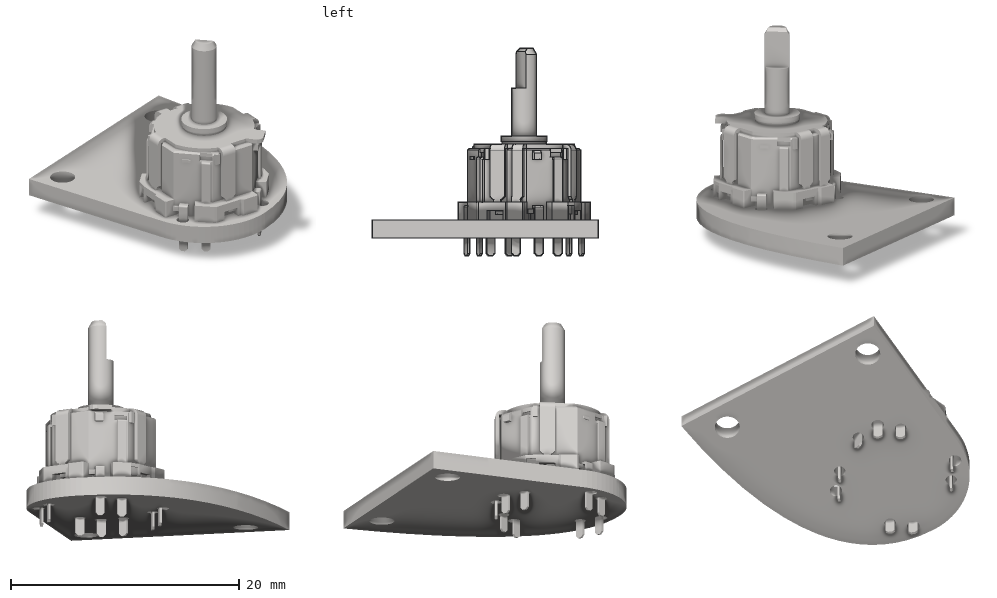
import cadquery as cq
import math

SWITCH_TURN = -20
QUARTER_TURNS = range(4)
EIGHTH = 45

BOARD_RADIUS = 6.5
BOARD_LEFT = -14.19
BOARD_TOP = 13.3
BOARD_THICKNESS = 1.6
CORNER_FACETS = 20
CURVE_RISE = 9.0
CURVE_RUN = 11.2
CURVE_DROP = 0.87
MOUNT_HOLE_DIAMETER = 2.2
MOUNT_HOLE_X = -11.97
MOUNT_HOLE_YS = (9.93, -4.5)
LEAD_HOLE_DIAMETER = 1.0
PIN_HOLE_DIAMETER = 1.1
PIN_HOLE_OUT = 5.35

BODY_FLAT = 4.6
BODY_HEIGHT = 6.25
BODY_CHAMFER = 0.15
ARM_BED_DEPTH = 0.2
ARM_BED_LEFT = -0.08
ARM_BED_RIGHT = 2.45
BODY_CORNER = BODY_FLAT * math.tan(math.pi / 8)

WING_HEIGHT = 1.55
WING_FACE = 5.3
WING_BUMP = 0.2
WING_LEFT = -1.95
WING_BUMP_RIGHT = -0.41
WING_CORNER_X = 2.45
WING_EDGE = 0.1
WING_END = (3.8, 4.0)
WING_SLANT_X = 1.65
WING_SLANT_END = (2.65, 5.07)
WING_INNER_END = (3.25, 3.25)
NOTCH_LEFT = 0.06
NOTCH_WIDTH = 1.45
NOTCH_HEIGHT = 0.83
HOOK_LEFT = 0.12
HOOK_WIDTH = 0.7
HOOK_REACH = 0.41
HOOK_BOTTOM = 0.48
HOOK_HEIGHT = 0.3
WINDOW_BOTTOM = 0.52
WINDOW_HEIGHT = 0.72
WINDOW_DEPTH = 0.17
WINDOW_FRAME = 0.1
UNDERCUT_DEPTH = 0.33

COVER_TOP = 6.64
COVER_THICKNESS = COVER_TOP - BODY_HEIGHT
COVER_FLAT = 4.14
COVER_RADIUS = 4.4
TAB_OUTLINE = [
    (2.69, 3.1),
    (3.4, 3.4),
    (3.8, 3.89),
    (4.82, 2.95),
    (4.96, 2.65),
    (4.88, 2.23),
    (3.93, 1.45),
]
ARM_THICKNESS = 0.3
ARM_ROOT = 3.93
ARM_LEFT = 0.06
ARM_WIDTH = 1.35
ARM_BOTTOM = 1.78
ARM_TIP_CHAMFER = 0.27
ARM_BEND = 0.58
ARM_NECK_WIDTH = 0.65
ARM_NECK_BOTTOM = 1.25
GROUND_ARM_LEFT = -1.72
GROUND_ARM_WIDTH = 1.0
GROUND_ARM_GAP = 0.2
GROUND_LEAD_ALONG = -1.08

LEAD_WIDTH = 0.79
LEAD_THICKNESS = 0.2
LEAD_LENGTH = 3.16
LEAD_TIP_CHAMFER = 0.23
STRIP_ALONG = -1.01
STRIP_OUT = 4.9
STRIP_TOP = 5.48
PIN_ALONG = 0.95
PIN_OUT = 5.2
PIN_TOP = 1.25
LEAD_BEND = 0.15
LEAD_ROOT = 4.14
RECESS_LEFT = -1.53
RECESS_RIGHT = -0.41
RECESS_DEPTH = 0.29
LIP_BOTTOM = 5.9
LIP_DEPTH = 0.15
CATCH_LEFT = 1.6
CATCH_WIDTH = 0.37
CATCH_BOTTOM = 5.27
CATCH_OUT = 4.65
LEDGE_WIDTH = 0.54
LEDGE_DEPTH = 0.25
LEDGE_BOTTOM = 0.54
LEDGE_HEIGHT = 0.41
EAR_ALONG = 1.0
EAR_WIDTH = 0.7
EAR_OUT = 5.03
EAR_BOTTOM = 5.3
EAR_TOP = 6.08
EAR_CHAMFER = 0.25
NUB_ALONG = 0.77
NUB_WIDTH = 0.75
NUB_PROUD = 0.1
NUB_HEIGHT = 0.25

COLLAR_RADIUS = 2.0
NECK_RADIUS = 1.95
NECK_TOP = 6.85
COLLAR_TOP = 7.32
SHAFT_RADIUS = 1.1
SHAFT_TOP = 15.03
TIP_RADIUS = 0.79
TIP_HEIGHT = 0.54
FLAT_OFFSET = 0.3
FLAT_BOTTOM = 11.54
FLAT_CHAMFER = 0.29


def box(left, right, front, back, bottom, top):
    """Block between the given X, Y and Z limits."""
    size = (right - left, back - front, top - bottom)
    return cq.Workplane("XY").box(*size, centered=False).translate((left, front, bottom))


def turned(shape, angle):
    """Shape turned about the Z axis by an angle in degrees."""
    return shape.rotate((0, 0, 0), (0, 0, 1), angle)


def quarter_copies(shape, start=0):
    """Four copies around the axis, the first turned by the start angle."""
    return [turned(shape, start + 90 * turn) for turn in QUARTER_TURNS]


def lead_blade(along, out, top):
    """Straight lead on the +Y side, drawn down from the given top to its pointed tip."""
    half = LEAD_WIDTH / 2
    blade = box(along - half, along + half, out - LEAD_THICKNESS, out, -LEAD_LENGTH, top)
    return blade.edges("|Y and <Z").chamfer(LEAD_TIP_CHAMFER)


def lead(along, out, top):
    """Lead on the +Y side that leaves the housing level and bends down."""
    half = LEAD_WIDTH / 2
    root = box(along - half, along + half, LEAD_ROOT, out, top - LEAD_THICKNESS, top)
    bent = lead_blade(along, out, top).union(root)
    return bent.edges("|X and >Z and >Y").fillet(LEAD_BEND)


def make_base_wing(slanted):
    """Wing in front of the +Y housing face; a slanted one has its corner cut and a window."""
    bump = WING_FACE + WING_BUMP
    corner = [
        (WING_CORNER_X - WING_EDGE, WING_FACE),
        (WING_CORNER_X + WING_EDGE, WING_FACE - WING_EDGE),
    ]
    if slanted:
        corner = [(WING_SLANT_X, WING_FACE), WING_SLANT_END]
    outline = [
        (WING_LEFT, COVER_FLAT),
        (WING_LEFT, bump - WING_EDGE),
        (WING_LEFT + WING_EDGE, bump),
        (WING_BUMP_RIGHT, bump),
        (WING_BUMP_RIGHT + WING_BUMP, WING_FACE),
        *corner,
        WING_END,
        WING_INNER_END,
        (WING_CORNER_X, COVER_FLAT),
    ]
    wing = cq.Workplane("XY").polyline(outline).close().extrude(WING_HEIGHT)
    notch_right = NOTCH_LEFT + NOTCH_WIDTH
    wing = wing.cut(box(NOTCH_LEFT, notch_right, BODY_FLAT, bump, 0, NOTCH_HEIGHT))
    hook_right = HOOK_LEFT + HOOK_WIDTH
    hook_top = HOOK_BOTTOM + HOOK_HEIGHT
    hook = box(HOOK_LEFT, hook_right, COVER_FLAT, BODY_FLAT + HOOK_REACH, HOOK_BOTTOM, hook_top)
    wing = wing.union(hook)
    if slanted:
        run = WING_SLANT_END[0] - WING_SLANT_X
        drop = WING_FACE - WING_SLANT_END[1]
        window = box(WINDOW_FRAME, run, -WINDOW_DEPTH, WING_BUMP, 0, WINDOW_HEIGHT)
        undercut = box(WINDOW_FRAME, run, -UNDERCUT_DEPTH, WING_BUMP, -WINDOW_BOTTOM, 0)
        slant = -math.degrees(math.atan2(drop, run))
        window = window.union(undercut)
        wing = wing.cut(turned(window, slant).translate((WING_SLANT_X, WING_FACE, WINDOW_BOTTOM)))
    return wing


def make_body():
    """Octagonal housing with arm beds, a recess over each strip and an undercut by each pin."""
    diameter = 2 * BODY_FLAT / math.cos(math.pi / 8)
    octagon = cq.Workplane("XY").polygon(8, diameter).extrude(BODY_HEIGHT)
    body = turned(octagon, EIGHTH / 2).faces(">Z").chamfer(BODY_CHAMFER)
    recess_back = BODY_FLAT - RECESS_DEPTH
    recess = box(RECESS_LEFT, RECESS_RIGHT, recess_back, BODY_FLAT, STRIP_TOP, LIP_BOTTOM)
    lip_back = BODY_FLAT - LIP_DEPTH
    over_lip = box(RECESS_LEFT, RECESS_RIGHT, lip_back, BODY_FLAT, LIP_BOTTOM, BODY_HEIGHT)
    recess = recess.union(over_lip)
    ledge_left = BODY_CORNER - LEDGE_WIDTH
    undercut_back = BODY_FLAT - UNDERCUT_DEPTH
    undercut = box(ledge_left, BODY_CORNER, undercut_back, BODY_FLAT, 0, LEDGE_BOTTOM)
    arm_bed_back = BODY_FLAT - ARM_BED_DEPTH
    arm_bed = box(ARM_BED_LEFT, ARM_BED_RIGHT, arm_bed_back, BODY_FLAT, WING_HEIGHT, BODY_HEIGHT)
    cutters = quarter_copies(recess.union(undercut), EIGHTH) + quarter_copies(arm_bed)
    for cutter in cutters:
        body = body.cut(cutter)
    return body


def make_arm(left, width, face):
    """Arm bent down from the cover over the +Y face, with a tapered tip."""
    right = left + width
    arm = box(left, right, face - ARM_THICKNESS, face, ARM_BOTTOM, COVER_TOP)
    arm = arm.edges("|Y and <Z").chamfer(ARM_TIP_CHAMFER)
    root = box(left, right, ARM_ROOT, face, BODY_HEIGHT, COVER_TOP)
    middle = (left + right) / 2
    neck_left = middle - ARM_NECK_WIDTH / 2
    neck_right = middle + ARM_NECK_WIDTH / 2
    neck = box(neck_left, neck_right, face - ARM_THICKNESS, face, ARM_NECK_BOTTOM, ARM_BOTTOM)
    return arm.union(root).edges("|X and >Z and >Y").fillet(ARM_BEND).union(neck)


def make_cover():
    """Flat-sided round cover with a locating tab."""
    side = 2 * COVER_FLAT
    disc = cq.Workplane("XY").circle(COVER_RADIUS).extrude(COVER_THICKNESS)
    square = cq.Workplane("XY").rect(side, side).extrude(COVER_THICKNESS)
    tab = cq.Workplane("XY").polyline(TAB_OUTLINE).close().extrude(COVER_THICKNESS)
    return disc.intersect(square).union(tab).translate((0, 0, BODY_HEIGHT))


def make_ground_arm():
    """Spaced arm beside the -X face that carries on down as a lead."""
    face = BODY_FLAT + GROUND_ARM_GAP + ARM_THICKNESS
    arm = make_arm(GROUND_ARM_LEFT, GROUND_ARM_WIDTH, face)
    arm = arm.union(lead_blade(GROUND_LEAD_ALONG, face, ARM_BOTTOM + ARM_TIP_CHAMFER))
    return turned(arm, 90)


def make_slanted_face_details():
    """Contact strip, pin and ledge of one slanted face, drawn on the +Y side."""
    strip = lead(STRIP_ALONG, STRIP_OUT, STRIP_TOP)
    pin = lead(PIN_ALONG, PIN_OUT, PIN_TOP)
    ledge_left = BODY_CORNER - LEDGE_WIDTH
    ledge_back = BODY_FLAT + LEDGE_DEPTH
    ledge_top = LEDGE_BOTTOM + LEDGE_HEIGHT
    ledge = box(ledge_left, BODY_CORNER, COVER_FLAT, ledge_back, LEDGE_BOTTOM, ledge_top)
    return strip.union(pin).union(ledge)


def make_catch():
    """Small post at the housing corner beside an arm."""
    catch_right = CATCH_LEFT + CATCH_WIDTH
    return box(CATCH_LEFT, catch_right, COVER_FLAT, CATCH_OUT, CATCH_BOTTOM, BODY_HEIGHT)


def make_ear():
    """Bevelled ear near the top of one slanted face, drawn on the +Y side."""
    half = EAR_WIDTH / 2
    ear = box(EAR_ALONG - half, EAR_ALONG + half, COVER_FLAT, EAR_OUT, EAR_BOTTOM, EAR_TOP)
    return ear.edges("|X and >Z and >Y").chamfer(EAR_CHAMFER)


def make_nub():
    """Low nub near the top of a slanted face, drawn on the +Y side."""
    half = NUB_WIDTH / 2
    nub_out = BODY_FLAT + NUB_PROUD
    return box(NUB_ALONG - half, NUB_ALONG + half, COVER_FLAT, nub_out, EAR_BOTTOM, EAR_BOTTOM + NUB_HEIGHT)


def make_shaft():
    """Stepped collar and shaft with a tapered tip and a flat on one side."""
    profile = [
        (0, BODY_HEIGHT),
        (NECK_RADIUS, BODY_HEIGHT),
        (NECK_RADIUS, NECK_TOP),
        (COLLAR_RADIUS, NECK_TOP),
        (COLLAR_RADIUS, COLLAR_TOP),
        (SHAFT_RADIUS, COLLAR_TOP),
        (SHAFT_RADIUS, SHAFT_TOP - TIP_HEIGHT),
        (TIP_RADIUS, SHAFT_TOP),
        (0, SHAFT_TOP),
    ]
    shaft = cq.Workplane("XZ").polyline(profile).close().revolve(360, (0, 0, 0), (0, 1, 0))
    cutter_profile = [
        (FLAT_OFFSET, FLAT_BOTTOM),
        (FLAT_OFFSET, SHAFT_TOP - FLAT_CHAMFER),
        (FLAT_OFFSET - FLAT_CHAMFER, SHAFT_TOP),
        (SHAFT_RADIUS, SHAFT_TOP),
        (SHAFT_RADIUS, FLAT_BOTTOM),
    ]
    cutter = cq.Workplane("YZ").polyline(cutter_profile).close().extrude(SHAFT_RADIUS, both=True)
    return shaft.cut(turned(cutter, EIGHTH))


def make_switch():
    """One solid: housing, cover, shaft, arms, leads and base wings, turned into place."""
    switch = make_body().union(make_cover()).union(make_shaft())
    arm = make_arm(ARM_LEFT, ARM_WIDTH, BODY_FLAT + ARM_THICKNESS)
    parts = quarter_copies(arm) + quarter_copies(make_catch())
    parts += quarter_copies(make_slanted_face_details(), EIGHTH)
    for turn in QUARTER_TURNS:
        parts.append(turned(make_base_wing(slanted=turn % 2 == 0), 90 * turn))
    for half_turn in (0, 180):
        parts.append(turned(make_nub(), EIGHTH + half_turn))
        parts.append(turned(make_ear(), EIGHTH + 90 + half_turn))
    parts.append(make_ground_arm())
    for part in parts:
        switch = switch.union(part)
    return turned(switch, SWITCH_TURN)


def hole_places(along, out, start, count=4):
    """Points spaced by quarter turns, given by their place on a housing face."""
    places = []
    for turn in range(count):
        angle = math.radians(start + SWITCH_TURN + 90 * turn)
        x = along * math.cos(angle) - out * math.sin(angle)
        y = along * math.sin(angle) + out * math.cos(angle)
        places.append((x, y))
    return places


def make_board():
    """Board with a faceted round corner, a long curved edge and the lead holes."""
    outline = cq.Workplane("XY", origin=(0, 0, -BOARD_THICKNESS))
    outline = outline.moveTo(BOARD_LEFT, BOARD_TOP).lineTo(BOARD_LEFT, -BOARD_RADIUS)
    for facet in range(CORNER_FACETS + 1):
        angle = math.radians(90 * facet / CORNER_FACETS)
        outline = outline.lineTo(BOARD_RADIUS * math.sin(angle), -BOARD_RADIUS * math.cos(angle))
    curve = [
        (BOARD_RADIUS, 0),
        (BOARD_RADIUS, CURVE_RISE),
        (BOARD_LEFT + CURVE_RUN, BOARD_TOP - CURVE_DROP),
        (BOARD_LEFT, BOARD_TOP),
    ]
    board = outline.bezier(curve).close().extrude(BOARD_THICKNESS)
    ground_out = BODY_FLAT + GROUND_ARM_GAP + ARM_THICKNESS - LEAD_THICKNESS / 2
    lead_holes = hole_places(STRIP_ALONG, STRIP_OUT - LEAD_THICKNESS / 2, EIGHTH)
    lead_holes += hole_places(GROUND_LEAD_ALONG, ground_out, 90, count=1)
    mount_holes = [(MOUNT_HOLE_X, y) for y in MOUNT_HOLE_YS]
    pin_holes = hole_places(PIN_ALONG, PIN_HOLE_OUT, EIGHTH)
    for diameter, places in (
        (MOUNT_HOLE_DIAMETER, mount_holes),
        (PIN_HOLE_DIAMETER, pin_holes),
        (LEAD_HOLE_DIAMETER, lead_holes),
    ):
        drills = cq.Workplane("XY").pushPoints(places).circle(diameter / 2).extrude(-BOARD_THICKNESS)
        board = board.cut(drills)
    return board


board = make_board()
switch = make_switch()
result = cq.Compound.makeCompound([board.val(), switch.val()])